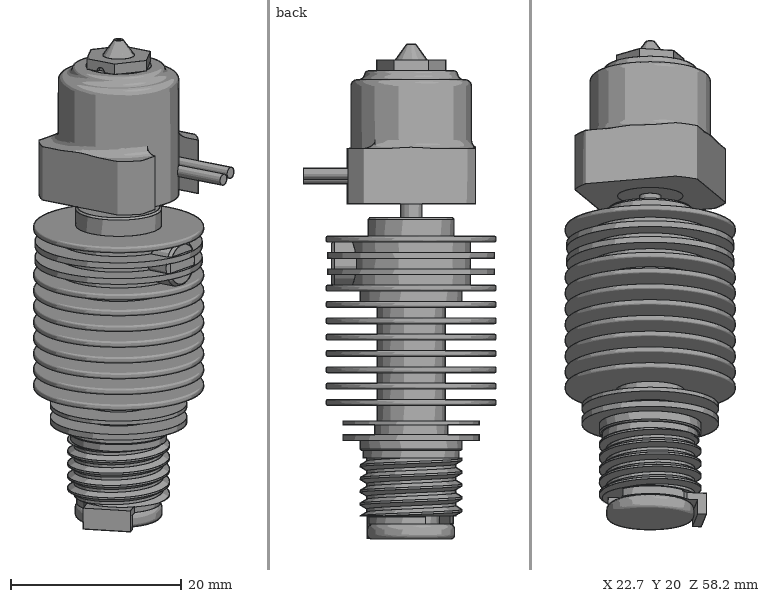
import cadquery as cq
import math


TOTAL_HEIGHT = 58.2
TIP_RADIUS = 0.5
CONE_RADIUS = 1.85
ORIFICE_RADIUS = 0.2
HEX_FLATS = 7.05
HEX_TOP = 56.35
HEATER_TOP = 55.05
DIMPLE_RADIUS = 0.5
DIMPLE_DEPTH = 0.45
SHANK_RADIUS = 3.85
TUBE_RADIUS = 1.3
TUBE_SEAT_DEPTH = 2.9

HEATER_BOTTOM = 39.4
FLANGE_TOP = 45.9
FLANGE_SIDE = 15.15
FLANGE_CORNER_RADIUS = 9.35
FLANGE_EDGE_FILLET = 0.3
BARREL_RADIUS = 7.1
BARREL_FLARE = 1.0
SHOULDER_Z = 54.0
SHOULDER_RADIUS = 6.35
SHOULDER_FILLET = BARREL_RADIUS - SHOULDER_RADIUS
RIM_RADIUS = 4.95
RIM_STEP_RADIUS = 5.45
RIM_STEP_Z = 54.65
NOTCH_Y_MIN = -2.95
NOTCH_Y_MAX = 5.7

WIRE_RADIUS = 0.67
WIRE_END_X = 12.7
WIRE_START_X = 4.1
WIRE_CENTRES = [(3.6, 42.4), (5.0, 42.95)]

SINK_TOP = 37.85
SINK_BOTTOM = 2.75
BOSS_RADIUS = 5.05
BOSS_CHAMFER = 0.25
FIN_COUNT = 11
FIN_PITCH = 1.9
FIN_THICKNESS = 0.7
FIN_RADIUS = 10.0
TRIMMED_FIN_RADIUS = 9.85
TRIMMED_FINS = (1, 2)
FIN_FILLET = 0.25
TOP_FIN_Z = 35.25
WIDE_CORE_RADIUS = 7.0
STEP_CORE_RADIUS = 6.0
CORE_RADIUS = 4.0
SMALL_FIN_RADIUS = 8.05
UPPER_SMALL_FIN_Z = 13.7
UPPER_SMALL_FIN_THICKNESS = 0.45
LOWER_SMALL_FIN_Z = 11.95
SMALL_FIN_CORE_RADIUS = 4.3
COLLAR_BOTTOM = 10.4
COLLAR_CHAMFER = 0.2
SIDE_BOSS_RADIUS = 2.75
SIDE_BOSS_END_X = 9.35
SIDE_BOSS_CHAMFER = 0.35

THREAD_TOP = 9.55
THREAD_NECK_RADIUS = 5.65
THREAD_CREST_RADIUS = 6.0
THREAD_ROOT_RADIUS = 5.25
THREAD_PITCH = 1.5
THREAD_CREST_WIDTH = 0.25
THREAD_BASE_WIDTH = 1.3
THREAD_START_Z = 2.6
THREAD_OVERLAP = 0.1

COLLET_FLANGE_RADIUS = 5.1
COLLET_FLANGE_HEIGHT = 1.8
COLLET_LOWER_FILLET = 0.5
COLLET_UPPER_FILLET = 0.7
COLLET_NECK_RADIUS = 4.95
COLLET_CORE_RADIUS = 3.3
NECK_FLAT_X = -3.4
CLIP_ANGLE = 24.0
CLIP_TOP = 2.6
ARM_END_X = 0.35
TAB_WIDTH = 5.7
TAB_THICKNESS = 1.05
TAB_FRONT_Y = -6.35
TAB_BOTTOM = 0.05


def disc(radius, bottom, top):
    return cq.Workplane("XY").workplane(offset=bottom).circle(radius).extrude(top - bottom)


def rod_along_x(radius, start_x, end_x, y, z):
    return cq.Workplane("YZ").workplane(offset=start_x).center(y, z).circle(radius).extrude(end_x - start_x)


def block(x_min, x_max, y_min, y_max, z_min, z_max):
    size = (x_max - x_min, y_max - y_min, z_max - z_min)
    return cq.Workplane("XY").box(*size, centered=False).translate((x_min, y_min, z_min))


def make_nozzle():
    cone = (
        cq.Workplane("XZ")
        .moveTo(0, HEX_TOP)
        .lineTo(CONE_RADIUS, HEX_TOP)
        .lineTo(TIP_RADIUS, TOTAL_HEIGHT)
        .lineTo(0, TOTAL_HEIGHT)
        .close()
        .revolve(360, (0, 0, 0), (0, 1, 0))
    )
    hex_corners = HEX_FLATS / math.cos(math.pi / 6)
    hexagon = (
        cq.Workplane("XY")
        .workplane(offset=HEATER_TOP)
        .polygon(6, hex_corners)
        .extrude(HEX_TOP - HEATER_TOP)
    )
    dimple = (
        cq.Workplane("XZ")
        .workplane(offset=HEX_FLATS / 2 - DIMPLE_DEPTH)
        .center(0, HEATER_TOP)
        .circle(DIMPLE_RADIUS)
        .extrude(DIMPLE_DEPTH)
    )
    hexagon = hexagon.cut(dimple)
    shank = disc(SHANK_RADIUS, HEATER_BOTTOM, HEATER_TOP)
    tube_bottom = SINK_TOP - TUBE_SEAT_DEPTH
    tube = disc(TUBE_RADIUS, tube_bottom, HEATER_BOTTOM)
    orifice = disc(ORIFICE_RADIUS, tube_bottom, TOTAL_HEIGHT)
    return cone.union(hexagon).union(shank).union(tube).cut(orifice)


def make_heater_barrel():
    """Revolved barrel with a rounded top and a flare at the flange."""
    diagonal = math.sqrt(0.5)
    rim_mid = (
        RIM_RADIUS + (RIM_STEP_RADIUS - RIM_RADIUS) * diagonal,
        RIM_STEP_Z + (HEATER_TOP - RIM_STEP_Z) * diagonal,
    )
    sweep_mid = (
        SHOULDER_RADIUS - (SHOULDER_RADIUS - RIM_STEP_RADIUS) * diagonal,
        RIM_STEP_Z - (RIM_STEP_Z - SHOULDER_Z) * diagonal,
    )
    shoulder_mid = (
        SHOULDER_RADIUS + SHOULDER_FILLET * diagonal,
        SHOULDER_Z - SHOULDER_FILLET * (1 - diagonal),
    )
    flare_mid = (
        BARREL_RADIUS + BARREL_FLARE * (1 - diagonal),
        FLANGE_TOP + BARREL_FLARE * (1 - diagonal),
    )
    return (
        cq.Workplane("XZ")
        .moveTo(0, FLANGE_TOP)
        .lineTo(BARREL_RADIUS + BARREL_FLARE, FLANGE_TOP)
        .threePointArc(flare_mid, (BARREL_RADIUS, FLANGE_TOP + BARREL_FLARE))
        .lineTo(BARREL_RADIUS, SHOULDER_Z - SHOULDER_FILLET)
        .threePointArc(shoulder_mid, (SHOULDER_RADIUS, SHOULDER_Z))
        .threePointArc(sweep_mid, (RIM_STEP_RADIUS, RIM_STEP_Z))
        .threePointArc(rim_mid, (RIM_RADIUS, HEATER_TOP))
        .lineTo(0, HEATER_TOP)
        .close()
        .revolve(360, (0, 0, 0), (0, 1, 0))
    )


def make_heater():
    square = (
        cq.Workplane("XY")
        .workplane(offset=HEATER_BOTTOM)
        .rect(FLANGE_SIDE, FLANGE_SIDE)
        .extrude(HEATER_TOP - HEATER_BOTTOM)
    )
    flange_round = disc(FLANGE_CORNER_RADIUS, HEATER_BOTTOM, FLANGE_TOP)
    flange = square.intersect(flange_round).edges("|Z").fillet(FLANGE_EDGE_FILLET)
    heater = flange.union(make_heater_barrel().intersect(square))

    notch = block(0, FLANGE_SIDE, NOTCH_Y_MIN, NOTCH_Y_MAX, HEATER_BOTTOM, FLANGE_TOP + BARREL_FLARE)
    notch = notch.cut(disc(BARREL_RADIUS, HEATER_BOTTOM, HEATER_TOP))
    heater = heater.cut(notch)

    heater = heater.cut(disc(SHANK_RADIUS, HEATER_BOTTOM, HEATER_TOP))
    for y, z in WIRE_CENTRES:
        heater = heater.cut(make_wire(y, z))
    return heater


def make_wire(y, z):
    return rod_along_x(WIRE_RADIUS, WIRE_START_X, WIRE_END_X, y, z)


def fin_z(index):
    return TOP_FIN_Z - index * FIN_PITCH


def fin_disc(radius, middle, thickness):
    return disc(radius, middle - thickness / 2, middle + thickness / 2)


def make_thread():
    """Root cylinder with a right-handed ridge, trimmed flat at both ends."""
    helix_bottom = THREAD_START_Z - THREAD_PITCH
    helix_top = THREAD_TOP + THREAD_PITCH
    inner_radius = THREAD_ROOT_RADIUS - THREAD_OVERLAP
    path = cq.Wire.makeHelix(
        THREAD_PITCH,
        helix_top - helix_bottom,
        THREAD_ROOT_RADIUS,
        cq.Vector(0, 0, helix_bottom),
    )
    ridge = (
        cq.Workplane("XZ")
        .moveTo(inner_radius, helix_bottom - THREAD_BASE_WIDTH / 2)
        .lineTo(THREAD_CREST_RADIUS, helix_bottom - THREAD_CREST_WIDTH / 2)
        .lineTo(THREAD_CREST_RADIUS, helix_bottom + THREAD_CREST_WIDTH / 2)
        .lineTo(inner_radius, helix_bottom + THREAD_BASE_WIDTH / 2)
        .close()
        .sweep(cq.Workplane(path), isFrenet=True)
    )
    root = disc(THREAD_ROOT_RADIUS, helix_bottom - THREAD_PITCH, helix_top + THREAD_PITCH)
    return root.union(ridge).intersect(disc(FIN_RADIUS, SINK_BOTTOM, THREAD_TOP))


def make_heat_sink():
    sink = disc(BOSS_RADIUS, fin_z(0), SINK_TOP).faces(">Z").chamfer(BOSS_CHAMFER)

    sink = sink.union(disc(WIDE_CORE_RADIUS, fin_z(3), fin_z(0)))
    sink = sink.union(disc(STEP_CORE_RADIUS, fin_z(4), fin_z(3)))
    sink = sink.union(disc(CORE_RADIUS, UPPER_SMALL_FIN_Z, fin_z(4)))
    sink = sink.union(disc(SMALL_FIN_CORE_RADIUS, LOWER_SMALL_FIN_Z, UPPER_SMALL_FIN_Z))
    collar = disc(STEP_CORE_RADIUS, COLLAR_BOTTOM, LOWER_SMALL_FIN_Z)
    sink = sink.union(collar.faces("<Z").chamfer(COLLAR_CHAMFER))
    sink = sink.union(disc(THREAD_NECK_RADIUS, THREAD_TOP, COLLAR_BOTTOM))

    for index in range(FIN_COUNT):
        if index in TRIMMED_FINS:
            fin = fin_disc(TRIMMED_FIN_RADIUS, fin_z(index), FIN_THICKNESS)
        else:
            fin = fin_disc(FIN_RADIUS, fin_z(index), FIN_THICKNESS).edges().fillet(FIN_FILLET)
        sink = sink.union(fin)
    sink = sink.union(fin_disc(SMALL_FIN_RADIUS, UPPER_SMALL_FIN_Z, UPPER_SMALL_FIN_THICKNESS))
    sink = sink.union(fin_disc(SMALL_FIN_RADIUS, LOWER_SMALL_FIN_Z, FIN_THICKNESS))

    boss_z = (fin_z(0) + fin_z(3)) / 2
    side_boss = rod_along_x(SIDE_BOSS_RADIUS, 0, SIDE_BOSS_END_X, 0, boss_z)
    sink = sink.union(side_boss.faces(">X").chamfer(SIDE_BOSS_CHAMFER))

    sink = sink.union(make_thread())
    return sink.cut(disc(TUBE_RADIUS, SINK_TOP - TUBE_SEAT_DEPTH, SINK_TOP))


def turn_about_z(body):
    return body.rotate((0, 0, 0), (0, 0, 1), CLIP_ANGLE)


def make_collet():
    flange = disc(COLLET_FLANGE_RADIUS, 0, COLLET_FLANGE_HEIGHT)
    flange = flange.faces("<Z").edges().fillet(COLLET_LOWER_FILLET)
    flange = flange.faces(">Z").edges().fillet(COLLET_UPPER_FILLET)
    core = disc(COLLET_CORE_RADIUS, COLLET_FLANGE_HEIGHT, SINK_BOTTOM)
    full_neck = disc(COLLET_NECK_RADIUS, COLLET_FLANGE_HEIGHT, SINK_BOTTOM)
    neck_side = block(
        -COLLET_NECK_RADIUS, NECK_FLAT_X,
        -COLLET_NECK_RADIUS, COLLET_NECK_RADIUS,
        COLLET_FLANGE_HEIGHT, SINK_BOTTOM,
    )
    return flange.union(core).union(turn_about_z(full_neck.intersect(neck_side)))


def make_clip():
    """C-shaped plate around the collet core, with a thumb tab hanging down at its front."""
    plate = disc(COLLET_NECK_RADIUS, COLLET_FLANGE_HEIGHT, CLIP_TOP)
    bridge = block(-TAB_WIDTH / 2, TAB_WIDTH / 2, TAB_FRONT_Y, 0, COLLET_FLANGE_HEIGHT, CLIP_TOP)
    tab = block(
        -TAB_WIDTH / 2, TAB_WIDTH / 2,
        TAB_FRONT_Y, TAB_FRONT_Y + TAB_THICKNESS,
        TAB_BOTTOM, CLIP_TOP,
    )
    neck_space = block(
        -COLLET_NECK_RADIUS, NECK_FLAT_X,
        -COLLET_NECK_RADIUS, 0,
        COLLET_FLANGE_HEIGHT, CLIP_TOP,
    )
    opening = block(
        -COLLET_NECK_RADIUS, ARM_END_X,
        0, COLLET_NECK_RADIUS,
        COLLET_FLANGE_HEIGHT, CLIP_TOP,
    )
    clip = plate.union(bridge).union(tab).cut(neck_space).cut(opening)
    clip = clip.cut(disc(COLLET_CORE_RADIUS, COLLET_FLANGE_HEIGHT, CLIP_TOP))
    return turn_about_z(clip)


nozzle = make_nozzle()
heater = make_heater()
wires = [make_wire(y, z) for y, z in WIRE_CENTRES]
heat_sink = make_heat_sink()
collet = make_collet()
clip = make_clip()

result = cq.Compound.makeCompound(
    [
        nozzle.solids().val(),
        heater.solids().val(),
        *[wire.val() for wire in wires],
        heat_sink.solids().val(),
        collet.solids().val(),
        clip.solids().val(),
    ]
)